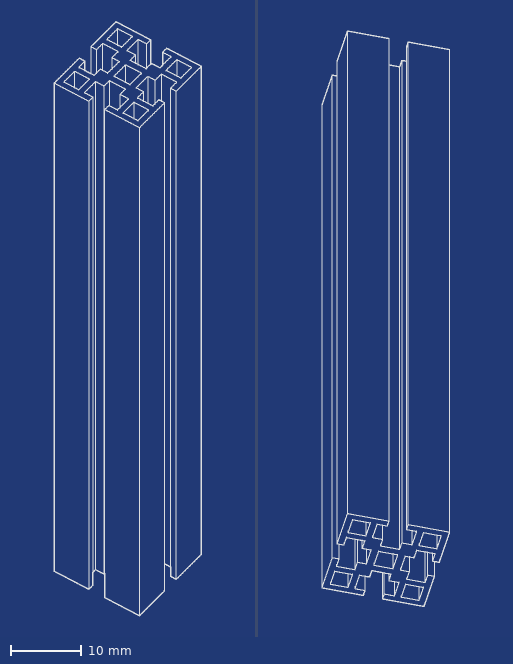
import cadquery as cq

length = 100.0
width = 15.0
wall = 1.0
slot_opening = 2.8
slot_width = 5.8
undercut_floor = 3.8
groove_floor = 2.5
core_hole = 2.8

half_width = width / 2
lip_inner = half_width - wall
corner_hole_inner = slot_width / 2 + wall
corner_hole = lip_inner - corner_hole_inner
corner_hole_center = (lip_inner + corner_hole_inner) / 2


def radial_box(inner, outer, across):
    """Full-length box on the +X side, spanning inner to outer from the axis."""
    return (
        cq.Workplane("XY")
        .center((inner + outer) / 2, 0)
        .rect(outer - inner, across)
        .extrude(length)
    )


def t_slot():
    """Slot cutter: narrow mouth and groove joined by a wide undercut."""
    narrow = radial_box(groove_floor, half_width, slot_opening)
    undercut = radial_box(undercut_floor, lip_inner, slot_width)
    return narrow.union(undercut)


result = cq.Workplane("XY").rect(width, width).extrude(length)

for angle in (0, 90, 180, 270):
    result = result.cut(t_slot().rotate((0, 0, 0), (0, 0, 1), angle))

core_bore = cq.Workplane("XY").rect(core_hole, core_hole).extrude(length)
corner_bores = (
    cq.Workplane("XY")
    .rect(2 * corner_hole_center, 2 * corner_hole_center, forConstruction=True)
    .vertices()
    .rect(corner_hole, corner_hole)
    .extrude(length)
)
result = result.cut(core_bore).cut(corner_bores)